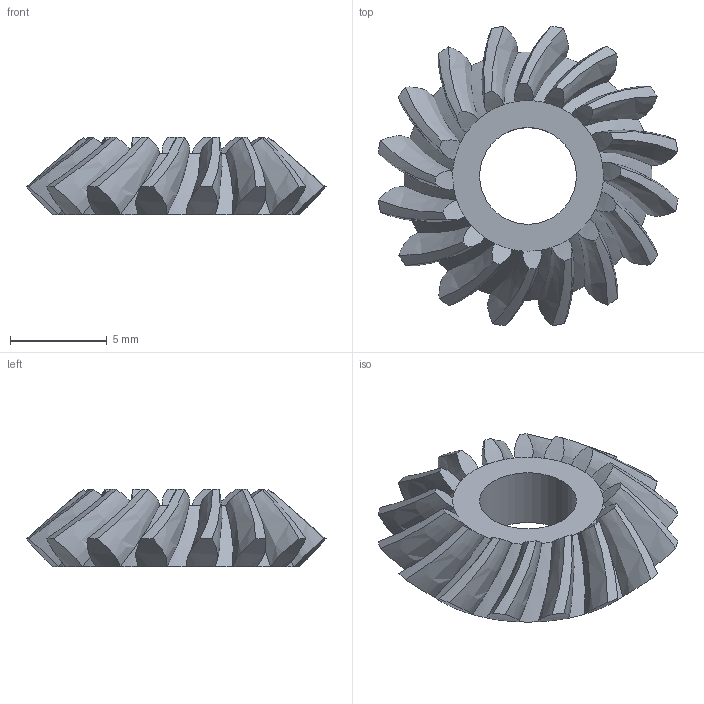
import cadquery as cq
import math


module = 0.9
tooth_count = 16
pitch_cone_angle = math.radians(45)
pressure_angle = math.radians(20)
face_width = 4.0
addendum = 1.0 * module
dedendum = 1.25 * module
twist_over_face = 14.1
outer_tooth_angle = 11.45
bore_diameter = 5.0
overall_height = 3.98

pitch_radius = module * tooth_count / 2
cone_distance = pitch_radius / math.sin(pitch_cone_angle)
inner_scale = (cone_distance - face_width) / cone_distance
tip_cone_angle = pitch_cone_angle + math.atan(addendum / cone_distance)
root_cone_angle = pitch_cone_angle - math.atan(dedendum / cone_distance)
base_cone_angle = math.asin(math.cos(pressure_angle) * math.sin(pitch_cone_angle))

across = math.cos(pitch_cone_angle)
along = math.sin(pitch_cone_angle)
pitch_depth = cone_distance * math.cos(pitch_cone_angle)
root_radius = pitch_radius - dedendum * across
apex_height = pitch_depth + dedendum * along
tip_radius = pitch_radius + addendum * across
tip_height = (dedendum + addendum) * along
inner_root_radius = root_radius * inner_scale
inner_root_height = apex_height * (1 - inner_scale)
inner_tip_radius = (apex_height - overall_height) * math.tan(tip_cone_angle)

tip_overrun = math.radians(1.0)
root_overrun = math.radians(2.0)
face_overrun = 0.15
flank_points = 6
section_count = 7


def involute_turn(cone_angle):
    """Angle about Z swept by a spherical involute from the base cone to the given cone."""
    roll = math.acos(min(1.0, math.cos(cone_angle) / math.cos(base_cone_angle)))
    lag = math.acos(min(1.0, math.tan(base_cone_angle) / math.tan(cone_angle)))
    return roll / math.sin(base_cone_angle) - lag


def half_tooth_angle(cone_angle):
    """Half of the tooth thickness at the given cone, as an angle about Z."""
    half_at_base = math.pi / (2 * tooth_count) + involute_turn(pitch_cone_angle)
    return half_at_base - involute_turn(max(cone_angle, base_cone_angle))


def section_point(cone_angle, turn, side):
    """Where a flank ray from the apex meets the plane square to the pitch cone at the large end."""
    radial = math.sin(cone_angle) * math.cos(turn)
    depth = math.cos(cone_angle)
    slant = radial * along + depth * across
    rise = radial * across - depth * along
    width = side * math.sin(cone_angle) * math.sin(turn)
    return (cone_distance * width / slant, cone_distance * rise / slant)


def flank(side):
    """Points of one flank: radial below the base cone, then involute to beyond the tip cone."""
    foot_angle = root_cone_angle - root_overrun
    radial_angles = [foot_angle, (foot_angle + base_cone_angle) / 2]
    span = tip_cone_angle + tip_overrun - base_cone_angle
    steps = [(i / (flank_points - 1)) ** 2 for i in range(flank_points)]
    cone_angles = radial_angles + [base_cone_angle + span * step for step in steps]
    return [section_point(angle, half_tooth_angle(angle), side) for angle in cone_angles]


def tooth_section(fraction):
    """Tooth outline at a fraction of the face width, measured from the large end."""
    scale = 1 - fraction * (1 - inner_scale)
    turn = math.radians(outer_tooth_angle + fraction * twist_over_face)
    slant = scale * cone_distance
    radius = slant * along
    height = apex_height - slant * across
    plane = cq.Plane(
        origin=(radius * math.cos(turn), radius * math.sin(turn), height),
        xDir=(-math.sin(turn), math.cos(turn), 0),
        normal=(
            along * math.cos(turn),
            along * math.sin(turn),
            -across,
        ),
    )

    def place(points):
        return [plane.toWorldCoords((x * scale, y * scale)) for x, y in points]

    left = place(flank(1))
    right = place(flank(-1))
    return cq.Wire.assembleEdges([
        cq.Edge.makeSpline(left),
        cq.Edge.makeLine(left[-1], right[-1]),
        cq.Edge.makeSpline(right[::-1]),
        cq.Edge.makeLine(right[0], left[0]),
    ])


def revolved(profile):
    """Solid of revolution about Z from (radius, height) points."""
    outline = cq.Workplane("XZ").polyline(profile).close()
    return outline.revolve(360, (0, 0, 0), (0, 1, 0))


def make_tooth(blank):
    """One twisted tooth, trimmed to the blank."""
    span = 1 + 2 * face_overrun
    fractions = [span * i / (section_count - 1) - face_overrun for i in range(section_count)]
    lofted = cq.Solid.makeLoft([tooth_section(f) for f in fractions])
    return cq.Workplane(lofted).intersect(blank)


bore_radius = bore_diameter / 2
body = revolved([
    (bore_radius, 0),
    (root_radius, 0),
    (inner_root_radius, inner_root_height),
    (bore_radius, inner_root_height),
])
blank = revolved([
    (bore_radius, 0),
    (root_radius, 0),
    (tip_radius, tip_height),
    (inner_tip_radius, overall_height),
    (inner_root_radius, inner_root_height),
    (bore_radius, inner_root_height),
])

tooth = make_tooth(blank)
result = body
for i in range(tooth_count):
    result = result.union(tooth.rotate((0, 0, 0), (0, 0, 1), i * 360 / tooth_count))